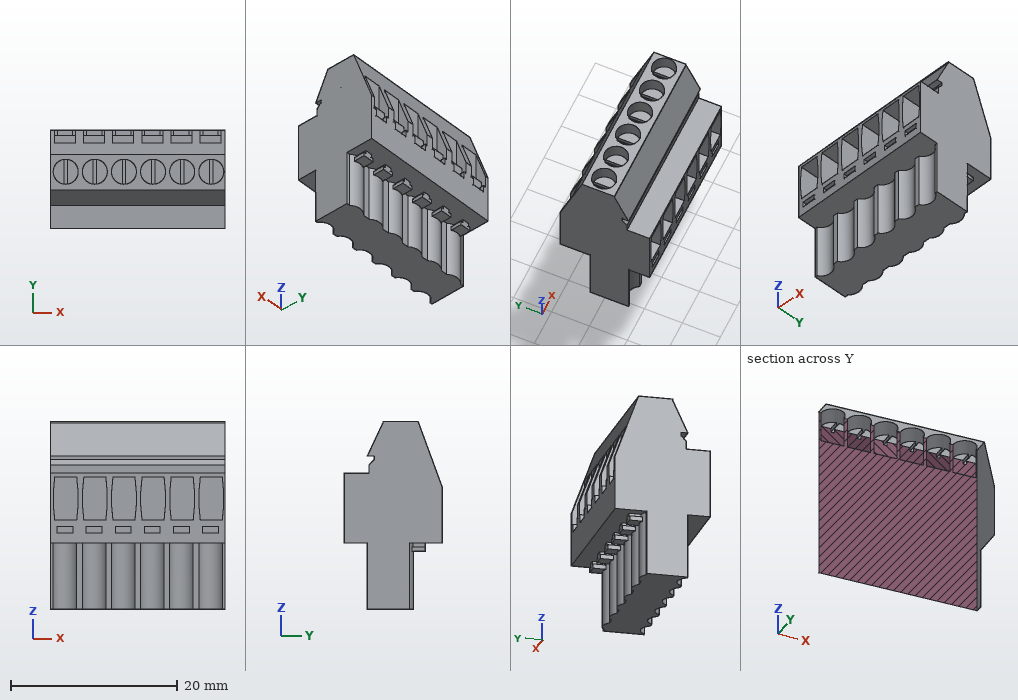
import cadquery as cq


POLES = 6
WIDTH = 21.0
PITCH = WIDTH / POLES
ENTRY_SHIFT = 0.1

DEPTH = 11.82
HEIGHT = 22.6
PLUG_HEIGHT = 7.95
PLUG_FRONT_Y = 2.78
PLUG_BACK_Y = 7.85
BLOCK_TOP_Z = 16.36
NECK_FRONT_Y = 2.98
GROOVE_BEVEL_BOTTOM_Z = 17.35
GROOVE_BEVEL_TOP_Z = 18.03
GROOVE_TOP_Z = 18.42
GROOVE_Y = 3.62
LIP_Y = 2.78
HEAD_FRONT_Y = 4.65
HEAD_EDGE = 0.18
HEAD_BACK_Y = 8.9
BACK_SLOPE_Z = 14.67

FLUTE_WIDTH = 2.82
FLUTE_DEPTH = 0.85
RIB_WIDTH = 2.53
RIB_RISE = 0.52

ENTRY_END_WIDTH = 2.65
ENTRY_MIDDLE_WIDTH = 3.0
ENTRY_BOTTOM_Z = 10.74
ENTRY_TOP_Z = 15.89
ENTRY_DEPTH = 4.52

WINDOW_WIDTH = 1.9
WINDOW_BOTTOM_Z = 9.18
WINDOW_TOP_Z = 9.95
WINDOW_DEPTH = 0.52

RECESS_WIDTH = 2.53
RECESS_FRONT_Y = 10.3
RECESS_STEP_Y = 11.2
RECESS_NOTCH_WIDTH = 1.85
RECESS_FLOOR_Z = 14.01
RECESS_STEP_DROP = 1.0

TAB_BACK_Y = 9.76
TAB_WIDTH = 1.63
TAB_NECK_WIDTH = 1.0
TAB_BOTTOM_Z = 6.98
TAB_TOP_Z = 7.53

SCREW_DIAMETER = 3.0
SCREW_Y = 6.83
SCREW_LENGTH = 2.01
SCREW_TOP_Z = HEIGHT - 1.88
SLOT_WIDTH = 0.4
SLOT_DEPTH = 0.5

pole_centres = [(i - (POLES - 1) / 2) * PITCH for i in range(POLES)]


def box_between(x_centre, width, y_range, z_range):
    """Box centred on x_centre that fills the given Y and Z ranges."""
    y_min, y_max = y_range
    z_min, z_max = z_range
    corner = cq.Vector(x_centre - width / 2, y_min, z_min)
    return cq.Workplane(cq.Solid.makeBox(width, y_max - y_min, z_max - z_min, corner))


def upright_cylinder(x, diameter, z_min, z_max):
    """Cylinder on a screw axis."""
    base = cq.Workplane("XY", origin=(x, SCREW_Y, z_min))
    return base.circle(diameter / 2).extrude(z_max - z_min)


def housing_block():
    """Side outline extruded along the row of poles."""
    outline = [
        (PLUG_FRONT_Y, 0),
        (PLUG_BACK_Y, 0),
        (PLUG_BACK_Y, PLUG_HEIGHT),
        (DEPTH, PLUG_HEIGHT),
        (DEPTH, BACK_SLOPE_Z),
        (HEAD_BACK_Y, HEIGHT),
        (HEAD_FRONT_Y, HEIGHT),
        (HEAD_FRONT_Y, HEIGHT - HEAD_EDGE),
        (LIP_Y, GROOVE_TOP_Z),
        (GROOVE_Y, GROOVE_TOP_Z),
        (GROOVE_Y, GROOVE_BEVEL_TOP_Z),
        (NECK_FRONT_Y, GROOVE_BEVEL_BOTTOM_Z),
        (NECK_FRONT_Y, BLOCK_TOP_Z),
        (0, BLOCK_TOP_Z),
        (0, PLUG_HEIGHT),
        (PLUG_FRONT_Y, PLUG_HEIGHT),
    ]
    return cq.Workplane("YZ").polyline(outline).close().extrude(WIDTH / 2, both=True)


def plug_arc(x, y, width, rise):
    """Column as tall as the plug, between a chord at y and an arc bulging by rise toward +Y."""
    return (
        cq.Workplane("XY")
        .moveTo(x - width / 2, y)
        .threePointArc((x, y + rise), (x + width / 2, y))
        .close()
        .extrude(PLUG_HEIGHT)
    )


def coding_tab(x):
    """Plate hung from the block by a narrower neck."""
    y_range = (PLUG_BACK_Y, TAB_BACK_Y)
    plate = box_between(x, TAB_WIDTH, y_range, (TAB_BOTTOM_Z, TAB_TOP_Z))
    neck = box_between(x, TAB_NECK_WIDTH, y_range, (TAB_TOP_Z, PLUG_HEIGHT))
    return plate.union(neck)


def wire_entry(x):
    """Blind pocket with flat ends and slightly bowed sides."""
    end = ENTRY_END_WIDTH / 2
    middle = ENTRY_MIDDLE_WIDTH / 2
    middle_z = (ENTRY_BOTTOM_Z + ENTRY_TOP_Z) / 2
    return (
        cq.Workplane("XZ")
        .moveTo(x - end, ENTRY_BOTTOM_Z)
        .lineTo(x + end, ENTRY_BOTTOM_Z)
        .threePointArc((x + middle, middle_z), (x + end, ENTRY_TOP_Z))
        .lineTo(x - end, ENTRY_TOP_Z)
        .threePointArc((x - middle, middle_z), (x - end, ENTRY_BOTTOM_Z))
        .close()
        .extrude(-ENTRY_DEPTH)
    )


def back_recess(x):
    """Recess open to the back, with a lower step and a still lower notch at its rear."""
    step_z = RECESS_FLOOR_Z - RECESS_STEP_DROP
    notch_z = step_z - RECESS_STEP_DROP
    rear = (RECESS_STEP_Y, DEPTH)
    recess = box_between(x, RECESS_WIDTH, (RECESS_FRONT_Y, DEPTH), (RECESS_FLOOR_Z, HEIGHT))
    step = box_between(x, RECESS_WIDTH, rear, (step_z, HEIGHT))
    notch = box_between(x, RECESS_NOTCH_WIDTH, rear, (notch_z, HEIGHT))
    return recess.union(step).union(notch)


def make_housing():
    """Housing with ribs, tabs and all the openings of each pole."""
    housing = housing_block()
    for x in pole_centres:
        entry_x = x + ENTRY_SHIFT
        housing = housing.union(plug_arc(x, PLUG_BACK_Y, RIB_WIDTH, RIB_RISE))
        housing = housing.union(coding_tab(x))
        housing = housing.cut(plug_arc(x, PLUG_FRONT_Y, FLUTE_WIDTH, FLUTE_DEPTH))
        housing = housing.cut(wire_entry(entry_x))
        housing = housing.cut(
            box_between(x, WINDOW_WIDTH, (0, WINDOW_DEPTH), (WINDOW_BOTTOM_Z, WINDOW_TOP_Z))
        )
        housing = housing.cut(back_recess(x))
        housing = housing.cut(
            upright_cylinder(entry_x, SCREW_DIAMETER, SCREW_TOP_Z - SCREW_LENGTH, HEIGHT)
        )
    return housing


def make_screw(x):
    """Slotted screw that fills the bottom of its hole."""
    screw = upright_cylinder(x, SCREW_DIAMETER, SCREW_TOP_Z - SCREW_LENGTH, SCREW_TOP_Z)
    radius = SCREW_DIAMETER / 2
    slot = box_between(
        x,
        SLOT_WIDTH,
        (SCREW_Y - radius, SCREW_Y + radius),
        (SCREW_TOP_Z - SLOT_DEPTH, SCREW_TOP_Z),
    )
    return screw.cut(slot)


housing = make_housing()
screws = [make_screw(x + ENTRY_SHIFT) for x in pole_centres]

result = cq.Compound.makeCompound([housing.val(), *[screw.val() for screw in screws]])